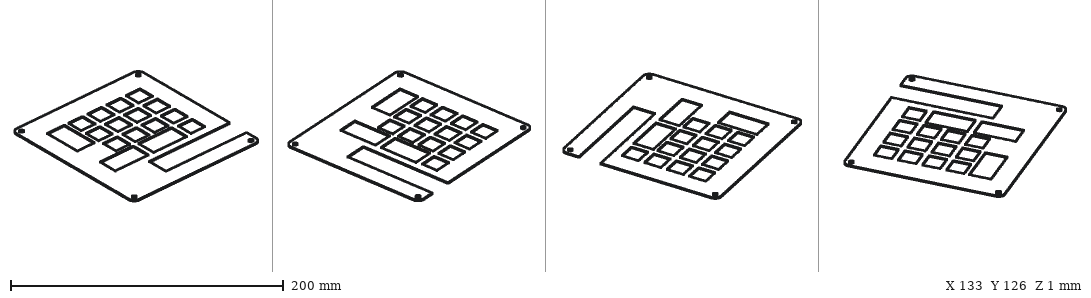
import cadquery as cq

plate_width = 133.0
plate_depth = 126.0
plate_thickness = 1.0
corner_radius = 5.0

hole_diameter = 3.5
hole_spacing_x = plate_width - 2 * corner_radius
hole_spacing_y = plate_depth - 2 * corner_radius

key_pitch = 19.0
key_size = 14.0
first_key_x = -39.5
first_key_y = 39.0
full_columns = 3
row_count = 4
last_column = full_columns

double_key_length = 33.0
tall_key_width = 16.8
tall_key_shift_x = -0.3
wide_key_depth = 17.2
wide_key_shift_y = -0.5

slot_left = 32.7
slot_width = 18.4
slot_front = -16.9


def key_position(column, row):
    """Centre of a grid position; half steps lie between two keys."""
    return (first_key_x + column * key_pitch, first_key_y - row * key_pitch)


def cut_rectangles(body, centers, size_x, size_y):
    """Cut one rectangular window through the plate at each centre."""
    cutter = (
        cq.Workplane("XY")
        .pushPoints(centers)
        .rect(size_x, size_y)
        .extrude(plate_thickness)
    )
    return body.cut(cutter)


plate = (
    cq.Workplane("XY")
    .rect(plate_width, plate_depth)
    .extrude(plate_thickness)
    .edges("|Z")
    .fillet(corner_radius)
    .faces(">Z")
    .workplane()
    .rect(hole_spacing_x, hole_spacing_y, forConstruction=True)
    .vertices()
    .hole(hole_diameter)
)

square_keys = [key_position(column, row) for column in range(full_columns) for row in range(row_count)]
square_keys.append(key_position(last_column, 0))
plate = cut_rectangles(plate, square_keys, key_size, key_size)

tall_keys = []
for middle_row in (1.5, 3.5):
    x, y = key_position(last_column, middle_row)
    tall_keys.append((x + tall_key_shift_x, y))
plate = cut_rectangles(plate, tall_keys, tall_key_width, double_key_length)

x, y = key_position(0.5, row_count)
wide_keys = [(x, y + wide_key_shift_y)]
plate = cut_rectangles(plate, wide_keys, double_key_length, wide_key_depth)

slot_length = plate_depth / 2 - slot_front
slot_center = (slot_left + slot_width / 2, slot_front + slot_length / 2)
plate = cut_rectangles(plate, [slot_center], slot_width, slot_length)

result = plate